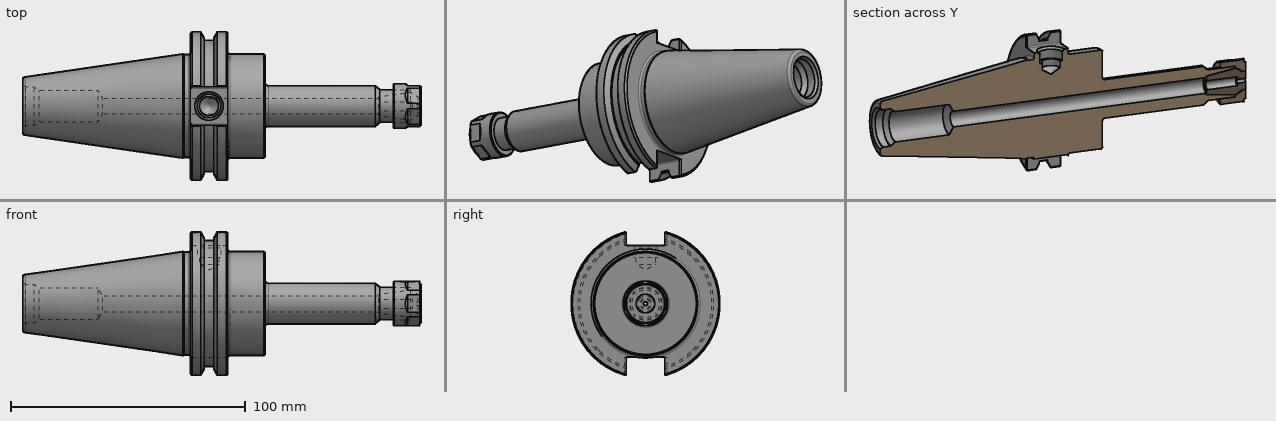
import cadquery as cq
import math



def cone_length(large_radius, small_radius, half_angle):
    """Axial length of a cone between two radii."""
    return (large_radius - small_radius) / math.tan(math.radians(half_angle))


taper_length = 68.25
gauge_radius = 44.45 / 2
taper_slope = (7 / 24) / 2
tail_radius = gauge_radius - taper_length * taper_slope
tail_fillet = 1.3
relief_radius = 43.94 / 2
relief_fillet = 0.8
relief_step = 0.5

flange_start = taper_length + 3.175
flange_width = 15.875
flange_end = flange_start + flange_width
flange_radius = 63.5 / 2
flange_rear_chamfer = 0.8
flange_front_chamfer = 0.5
groove_center = taper_length + 11.125
groove_floor_radius = 56.2 / 2
groove_floor_width = 3.9
groove_lip_radius = groove_floor_radius + 0.8
groove_flank_angle = 30

slot_width = 16.26
slot_floor_top = 24.8
slot_floor_bottom = 22.8
slot_rear_chamfer_width = 0.85
slot_rear_chamfer_depth = 0.5
slot_rim_chamfer = 0.5
slot_floor_fillet = 0.5

side_hole_radius = 10.13 / 2
side_hole_mouth_radius = 12.1 / 2
side_hole_depth = 5.0
side_drill_radius = 8.13 / 2
side_drill_depth = 8.0

collar_radius = 44.45 / 2
collar_end = taper_length + 35.0
collar_root_fillet = 1.0
collar_chamfer = 0.6
shaft_radius = 17.48 / 2
shaft_root_fillet = 1.3
shaft_end = 150.1
neck_radius = 14.0 / 2
neck_cone_length = 2.1
total_length = taper_length + 101.6

mouth_radius = 18.2 / 2
counterbore_radius = 16.46 / 2
mouth_cone_half_angle = 35
counterbore_depth = 4.8
drawbar_thread_radius = 13.39 / 2
drawbar_thread_end = 32.0
coolant_radius = 6.78 / 2
drill_half_angle = 59

nut_length = 12.0
nut_start = total_length - nut_length
nut_radius = 19.05 / 2
nut_rear_chamfer = 0.4
nut_flat_distance = 17.48 / 2
nut_flat_count = 6
nut_flat_start = 164.0
nut_flat_runout = 1.0
nut_face_radius = 8.1
nut_face_bevel = 0.4
nut_shoulder_length = 0.8

collet_length = 18.35
collet_start = total_length - collet_length
collet_tail_radius = 8.0 / 2
collet_half_angle = 8
nose_end = 165.0
collet_flare = (nose_end - collet_start) * math.tan(math.radians(collet_half_angle))
collet_waist_radius = collet_tail_radius + collet_flare
collet_head_radius = 8.0 / 2
collet_head_half_angle = 30
collet_head_start = nose_end + cone_length(collet_waist_radius, collet_head_radius, collet_head_half_angle)
collet_mouth_radius = 4.8 / 2
collet_bore_radius = 3.8 / 2
collet_tip_bore_radius = 1.52 / 2
collet_tip_bore_length = 4.0


def turned(points):
    """Solid of revolution about X from (x, radius) outline points."""
    return cq.Workplane("XY").polyline(points).close().revolve(360, (0, 0, 0), (1, 0, 0))


def holder_blank():
    """Outside of the holder: taper, grooved flange, collar, shaft and neck."""
    groove_rear = groove_center - groove_floor_width / 2
    groove_front = groove_center + groove_floor_width / 2
    flank = (flange_radius - groove_lip_radius) * math.tan(math.radians(groove_flank_angle))
    diagonal = math.sqrt(0.5)
    relief_root_middle = relief_fillet * (1 - diagonal)
    collar_root_middle = collar_root_fillet * (1 - diagonal)
    shaft_root_middle = shaft_root_fillet * (1 - diagonal)
    outline = (
        cq.Workplane("XY")
        .lineTo(0, tail_radius)
        .lineTo(taper_length, gauge_radius)
        .lineTo(taper_length + relief_step, relief_radius)
        .lineTo(flange_start - relief_fillet, relief_radius)
        .threePointArc(
            (flange_start - relief_root_middle, relief_radius + relief_root_middle),
            (flange_start, relief_radius + relief_fillet),
        )
        .lineTo(flange_start, flange_radius - flange_rear_chamfer)
        .lineTo(flange_start + flange_rear_chamfer, flange_radius)
        .lineTo(groove_rear - flank, flange_radius)
        .lineTo(groove_rear, groove_lip_radius)
        .lineTo(groove_rear, groove_floor_radius)
        .lineTo(groove_front, groove_floor_radius)
        .lineTo(groove_front, groove_lip_radius)
        .lineTo(groove_front + flank, flange_radius)
        .lineTo(flange_end - flange_front_chamfer, flange_radius)
        .lineTo(flange_end, flange_radius - flange_front_chamfer)
        .lineTo(flange_end, collar_radius + collar_root_fillet)
        .threePointArc(
            (flange_end + collar_root_middle, collar_radius + collar_root_middle),
            (flange_end + collar_root_fillet, collar_radius),
        )
        .lineTo(collar_end - collar_chamfer, collar_radius)
        .lineTo(collar_end, collar_radius - collar_chamfer)
        .lineTo(collar_end, shaft_radius + shaft_root_fillet)
        .threePointArc(
            (collar_end + shaft_root_middle, shaft_radius + shaft_root_middle),
            (collar_end + shaft_root_fillet, shaft_radius),
        )
        .lineTo(shaft_end, shaft_radius)
        .lineTo(shaft_end + neck_cone_length, neck_radius)
        .lineTo(nose_end, neck_radius)
        .lineTo(nose_end, 0)
        .close()
    )
    blank = outline.revolve(360, (0, 0, 0), (1, 0, 0))
    return blank.faces("<X").edges().fillet(tail_fillet)


def holder_bore():
    """Drawbar thread, coolant passage and the conical collet seat."""
    mouth_cone = cone_length(mouth_radius, counterbore_radius, mouth_cone_half_angle)
    counterbore_cone = cone_length(counterbore_radius, drawbar_thread_radius, mouth_cone_half_angle)
    drill_point = cone_length(drawbar_thread_radius, coolant_radius, drill_half_angle)
    return turned([
        (0, 0),
        (0, mouth_radius),
        (mouth_cone, counterbore_radius),
        (counterbore_depth, counterbore_radius),
        (counterbore_depth + counterbore_cone, drawbar_thread_radius),
        (drawbar_thread_end, drawbar_thread_radius),
        (drawbar_thread_end + drill_point, coolant_radius),
        (collet_start, coolant_radius),
        (collet_start, collet_tail_radius),
        (nose_end, collet_waist_radius),
        (nose_end, 0),
    ])


def drive_slot(floor_height):
    """Slot cutter along the flange, opening towards +Z, with chamfered rear and outer edges."""
    height = flange_radius - floor_height
    slot = (
        cq.Workplane("XY", origin=(flange_start, 0, floor_height))
        .box(flange_width, slot_width, height, centered=(False, True, False))
        .edges("|X and <Z")
        .fillet(slot_floor_fillet)
    )
    half = slot_width / 2
    wide_rear = half + slot_rear_chamfer_width
    rear_bevel = (
        cq.Workplane("XY", origin=(0, 0, floor_height))
        .polyline([
            (flange_start, -wide_rear),
            (flange_start + slot_rear_chamfer_depth, -half),
            (flange_start + slot_rear_chamfer_depth, half),
            (flange_start, wide_rear),
        ])
        .close()
        .extrude(height)
    )
    wide_rim = half + slot_rim_chamfer
    rim_height = math.sqrt(flange_radius**2 - wide_rim**2)
    rim_bevel = (
        cq.Workplane("YZ", origin=(flange_start, 0, 0))
        .polyline([
            (-half, rim_height - slot_rim_chamfer),
            (half, rim_height - slot_rim_chamfer),
            (wide_rim, rim_height),
            (wide_rim, flange_radius),
            (-wide_rim, flange_radius),
            (-wide_rim, rim_height),
        ])
        .close()
        .extrude(flange_width)
    )
    return slot.union(rear_bevel).union(rim_bevel)


def side_hole():
    """Countersunk blind hole with a drill point, sunk into the floor of the top slot."""
    countersink = side_hole_mouth_radius - side_hole_radius
    drill_point = cone_length(side_drill_radius, 0, drill_half_angle)
    return (
        cq.Workplane("XZ", origin=(groove_center, 0, slot_floor_top))
        .polyline([
            (0, 0),
            (side_hole_mouth_radius, 0),
            (side_hole_radius, -countersink),
            (side_hole_radius, -side_hole_depth),
            (side_drill_radius, -side_hole_depth),
            (side_drill_radius, -side_drill_depth),
            (0, -side_drill_depth - drill_point),
        ])
        .close()
        .revolve(360, (0, 0, 0), (0, 1, 0))
    )


def make_holder():
    top_slot = drive_slot(slot_floor_top)
    bottom_slot = drive_slot(slot_floor_bottom).rotate((0, 0, 0), (1, 0, 0), 180)
    return holder_blank().cut(holder_bore()).cut(top_slot).cut(bottom_slot).cut(side_hole())


def nut_flat_cutter():
    """Cutter for one wrench flat on the -Y side, with a sloped run-out at its rear end."""
    runout_depth = nut_radius - nut_flat_distance
    return (
        cq.Workplane("XY")
        .polyline([
            (nut_flat_start, -nut_flat_distance),
            (total_length, -nut_flat_distance),
            (total_length, -nut_radius),
            (nut_flat_start - nut_flat_runout, -nut_flat_distance - runout_depth),
        ])
        .close()
        .extrude(nut_radius, both=True)
    )


def make_nut():
    shoulder_start = total_length - nut_shoulder_length
    nut = turned([
        (nut_start, neck_radius),
        (nut_start, nut_radius - nut_rear_chamfer),
        (nut_start + nut_rear_chamfer, nut_radius),
        (shoulder_start, nut_radius),
        (shoulder_start, nut_face_radius + nut_face_bevel),
        (total_length, nut_face_radius),
        (total_length, collet_head_radius),
        (collet_head_start, collet_head_radius),
        (nose_end, collet_waist_radius),
        (nose_end, neck_radius),
    ])
    for index in range(nut_flat_count):
        angle = index * 360 / nut_flat_count
        nut = nut.cut(nut_flat_cutter().rotate((0, 0, 0), (1, 0, 0), angle))
    return nut


def make_collet():
    mouth_depth = collet_mouth_radius - collet_bore_radius
    tip_bore_start = total_length - collet_tip_bore_length
    return turned([
        (collet_start, collet_mouth_radius),
        (collet_start, collet_tail_radius),
        (nose_end, collet_waist_radius),
        (collet_head_start, collet_head_radius),
        (total_length, collet_head_radius),
        (total_length, collet_tip_bore_radius),
        (tip_bore_start, collet_tip_bore_radius),
        (tip_bore_start, collet_bore_radius),
        (collet_start + mouth_depth, collet_bore_radius),
    ])


holder = make_holder()
nut = make_nut()
collet = make_collet()

result = cq.Compound.makeCompound([holder.val(), nut.val(), collet.val()])